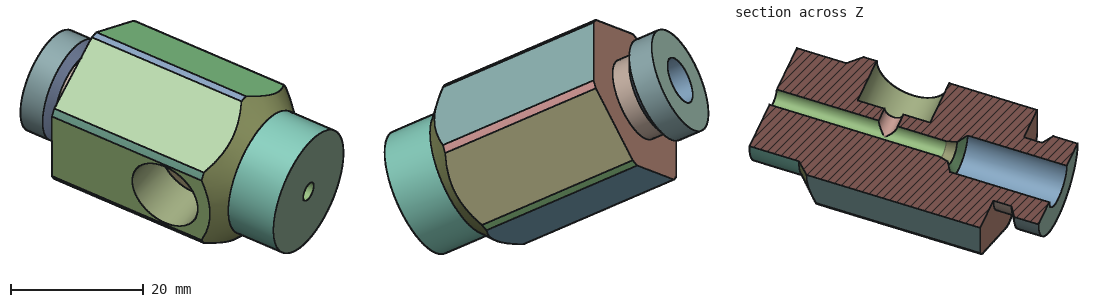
import cadquery as cq
import math

TOTAL_LENGTH = 46.0
FLANGE_DIAMETER = 16.5
FLANGE_END = 3.95
NECK_DIAMETER = 12.95
NECK_START = 5.05
HEX_START = 7.95
SPIGOT_DIAMETER = 20.0
SPIGOT_START = 38.0

HEX_SIDES = 6
HEX_ACROSS_FLATS = 24.0
HEX_CORNER_DIAMETER = 27.0
BODY_CHAMFER_ANGLE = 45.0

BORE_DIAMETER = 7.3
BORE_DEPTH = 16.0
SEAT_ANGLE = 118.0
THROAT_DIAMETER = 3.85
THROAT_TAPER_ANGLE = 30.0
PASSAGE_DIAMETER = 3.0

PORT_X = 28.0
PORT_DIAMETER = 11.65
PORT_DEPTH = 8.0
PORT_PASSAGE_DIAMETER = PASSAGE_DIAMETER


def cone_length(large_diameter, small_diameter, included_angle):
    """Axial length of a cone between two diameters."""
    radial_step = (large_diameter - small_diameter) / 2
    return radial_step / math.tan(math.radians(included_angle / 2))


def revolve_about_x(stations):
    """Solid of revolution about X from (x, diameter) stations."""
    outline = [(stations[0][0], 0)]
    outline += [(x, diameter / 2) for x, diameter in stations]
    outline.append((stations[-1][0], 0))
    return cq.Workplane("XY").polyline(outline).close().revolve(360, (0, 0, 0), (1, 0, 0))


def make_turned_envelope():
    """Round blank that trims the hexagon corners and the end of the body."""
    chamfer_length = cone_length(HEX_CORNER_DIAMETER, SPIGOT_DIAMETER, 2 * BODY_CHAMFER_ANGLE)
    return revolve_about_x([
        (HEX_START, HEX_CORNER_DIAMETER),
        (SPIGOT_START - chamfer_length, HEX_CORNER_DIAMETER),
        (SPIGOT_START, SPIGOT_DIAMETER),
    ])


def make_hex_body():
    """Hexagonal body with two flats facing -Y and +Y."""
    hexagon = (
        cq.Workplane("YZ", origin=(HEX_START, 0, 0))
        .transformed(rotate=(0, 0, 90))
        .polygon(HEX_SIDES, HEX_ACROSS_FLATS / math.cos(math.pi / HEX_SIDES))
        .extrude(SPIGOT_START - HEX_START)
    )
    return hexagon.intersect(make_turned_envelope())


def make_flange_and_neck():
    """Flange with a conical back that runs down to the neck."""
    return revolve_about_x([
        (0, FLANGE_DIAMETER),
        (FLANGE_END, FLANGE_DIAMETER),
        (NECK_START, NECK_DIAMETER),
        (HEX_START, NECK_DIAMETER),
    ])


def make_spigot():
    """Plain cylindrical end."""
    return revolve_about_x([
        (SPIGOT_START, SPIGOT_DIAMETER),
        (TOTAL_LENGTH, SPIGOT_DIAMETER),
    ])


def make_axial_passage():
    """Bore, conical seat, tapered throat and through passage."""
    throat_start = BORE_DEPTH + cone_length(BORE_DIAMETER, THROAT_DIAMETER, SEAT_ANGLE)
    throat_end = throat_start + cone_length(THROAT_DIAMETER, PASSAGE_DIAMETER, THROAT_TAPER_ANGLE)
    return revolve_about_x([
        (0, BORE_DIAMETER),
        (BORE_DEPTH, BORE_DIAMETER),
        (throat_start, THROAT_DIAMETER),
        (throat_end, PASSAGE_DIAMETER),
        (TOTAL_LENGTH, PASSAGE_DIAMETER),
    ])


def make_port():
    """Flat-bottomed port with a small passage from its floor to the axis."""
    face = cq.Workplane("XZ", origin=(PORT_X, -HEX_ACROSS_FLATS / 2, 0))
    counterbore = face.circle(PORT_DIAMETER / 2).extrude(-PORT_DEPTH)
    passage = face.circle(PORT_PASSAGE_DIAMETER / 2).extrude(-HEX_ACROSS_FLATS / 2)
    return counterbore.union(passage)


body = make_hex_body().union(make_flange_and_neck()).union(make_spigot())
result = body.cut(make_axial_passage()).cut(make_port())